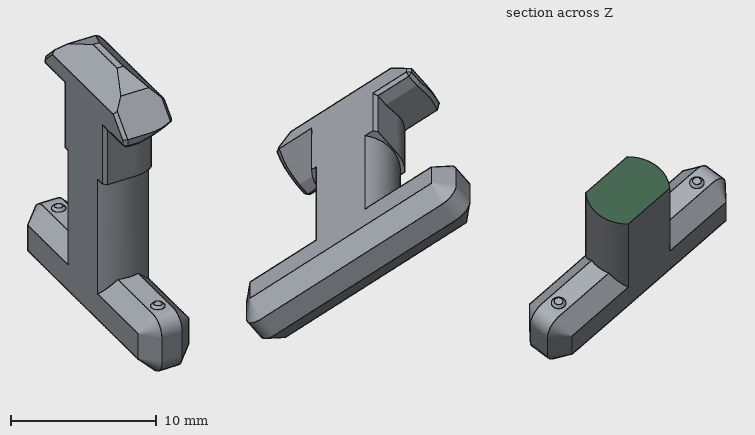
import cadquery as cq
import math

thickness = 4.0
half_thickness = thickness / 2
total_height = 21.05

bar_length = 18.0
bar_height = 4.5
bar_corner_radius = 1.25
bar_chamfer = 1.2

pip_offset = 7.0
pip_radius = 0.5
pip_height = 0.2
pip_taper = 45

stem_radius = 2.9
neck_start = 12.7
neck_half_width = 3.0
neck_round_radius = 2.5
neck_round_start = 0.5

head_half_length = 5.9
head_bottom = 17.3
head_end_top = 18.05
ridge_half_length = 1.7
ridge_half_width = 0.25
shoulder_half_length = 3.75
shoulder_height = head_end_top + head_half_length - shoulder_half_length
eaves_height = total_height - (half_thickness - ridge_half_width)
ramp_start = 0.8
ramp_angle = math.radians(15)
edge_chamfer = 0.25

neck_top = (head_end_top + eaves_height) / 2

pick_margin = 0.02


def half_turn(shape):
    """Return the shape turned by 180 degrees about the stem axis."""
    return shape.rotate((0, 0, 0), (0, 0, 1), 180)


def foot_bar():
    """Bar with rounded ends and chamfered front and back outlines."""
    return (
        cq.Workplane("XY")
        .box(bar_length, thickness, bar_height, centered=(True, True, False))
        .edges("|Y")
        .fillet(bar_corner_radius)
        .faces("<Y or >Y")
        .chamfer(bar_chamfer)
    )


def pip(x):
    """Small frustum standing on the bar."""
    return (
        cq.Workplane("XY", origin=(x, 0, bar_height))
        .circle(pip_radius)
        .extrude(pip_height, taper=pip_taper)
    )


def stem():
    """Round stem with flats on the front and back faces, rising from the middle of the bar."""
    base = cq.Workplane("XY", origin=(0, 0, bar_height / 2))
    length = neck_start - bar_height / 2
    flats = base.rect(2 * stem_radius, thickness).extrude(length)
    return base.circle(stem_radius).extrude(length).intersect(flats)


def neck():
    """Wider upper stem with two diagonally opposite rounded corners."""

    def round_x(y):
        rise = y - neck_round_start
        return neck_half_width - neck_round_radius + math.sqrt(neck_round_radius**2 - rise**2)

    mid_y = (neck_round_start + half_thickness) / 2
    mid_x = round_x(mid_y)
    corner_x = round_x(half_thickness)
    return (
        cq.Workplane("XY", origin=(0, 0, neck_start))
        .moveTo(neck_half_width, -half_thickness)
        .lineTo(neck_half_width, neck_round_start)
        .threePointArc((mid_x, mid_y), (corner_x, half_thickness))
        .lineTo(-neck_half_width, half_thickness)
        .lineTo(-neck_half_width, -neck_round_start)
        .threePointArc((-mid_x, -mid_y), (-corner_x, -half_thickness))
        .close()
        .extrude(neck_top - neck_start)
    )


def round_end_x(y):
    """X distance from the stem axis to the rounded head end at a given y."""
    return math.sqrt(head_half_length**2 - y**2)


def head_plan():
    """Head footprint: each end is straight on one half and round about the stem axis on the other."""
    mid_y = half_thickness / 2
    mid_x = round_end_x(mid_y)
    corner_x = round_end_x(half_thickness)
    return (
        cq.Workplane("XY", origin=(0, 0, head_bottom))
        .moveTo(head_half_length, -half_thickness)
        .lineTo(head_half_length, 0)
        .threePointArc((mid_x, mid_y), (corner_x, half_thickness))
        .lineTo(-head_half_length, half_thickness)
        .lineTo(-head_half_length, 0)
        .threePointArc((-mid_x, -mid_y), (-corner_x, -half_thickness))
        .close()
        .extrude(total_height - head_bottom)
    )


def head_length_profile():
    """Head outline along its length, stepped down to the ends by two slopes."""
    return (
        cq.Workplane("XZ", origin=(0, half_thickness, 0))
        .polyline([
            (-head_half_length, head_bottom),
            (-head_half_length, head_end_top),
            (-shoulder_half_length, shoulder_height),
            (-ridge_half_length, total_height),
            (ridge_half_length, total_height),
            (shoulder_half_length, shoulder_height),
            (head_half_length, head_end_top),
            (head_half_length, head_bottom),
        ])
        .close()
        .extrude(thickness)
    )


def head_roof_profile():
    """Head outline across its thickness, with 45 degree roof slopes."""
    return (
        cq.Workplane("YZ", origin=(-head_half_length, 0, 0))
        .polyline([
            (-half_thickness, head_bottom),
            (-half_thickness, eaves_height),
            (-ridge_half_width, total_height),
            (ridge_half_width, total_height),
            (half_thickness, eaves_height),
            (half_thickness, head_bottom),
        ])
        .close()
        .extrude(2 * head_half_length)
    )


def ramp_cut():
    """Wedge under the -X arm that makes its underside climb towards the front."""
    ramp_run = half_thickness + ramp_start
    return (
        cq.Workplane("YZ", origin=(-head_half_length, 0, 0))
        .polyline([
            (ramp_start, head_bottom),
            (-half_thickness, head_bottom),
            (-half_thickness, head_bottom + ramp_run * math.tan(ramp_angle)),
        ])
        .close()
        .extrude(head_half_length)
    )


def head():
    """Hammer head, alike under a half turn, with a ramp under each arm."""
    ramp = ramp_cut()
    return (
        head_plan()
        .intersect(head_length_profile())
        .intersect(head_roof_profile())
        .cut(ramp)
        .cut(half_turn(ramp))
    )


def is_broken_edge(edge):
    """Tell whether an edge of the head and neck gets the small chamfer.

    These are the end, slope and underside edges of the two outer faces, leaving out the ramp
    and the rounded neck corners, and the lower edges of the two end faces.
    """
    middle = edge.Center()
    bottom, top = sorted((edge.startPoint().z, edge.endPoint().z))
    distance = abs(middle.x)

    on_outer_face = abs(middle.y) > half_thickness - pick_margin
    if on_outer_face:
        on_ramp_side = middle.x * middle.y > 0
        if on_ramp_side:
            return distance > neck_half_width and top - bottom > pick_margin
        return distance > neck_half_width - pick_margin

    on_end_face = distance > round_end_x(half_thickness)
    return on_end_face and top < head_end_top - pick_margin


def head_and_neck():
    """Head joined to the neck, with their outer edges chamfered."""
    body = neck().union(head())
    broken_edges = [edge for edge in body.edges().vals() if is_broken_edge(edge)]
    return body.newObject(broken_edges).chamfer(edge_chamfer)


result = foot_bar().union(stem()).union(head_and_neck())
for pip_x in (-pip_offset, pip_offset):
    result = result.union(pip(pip_x))